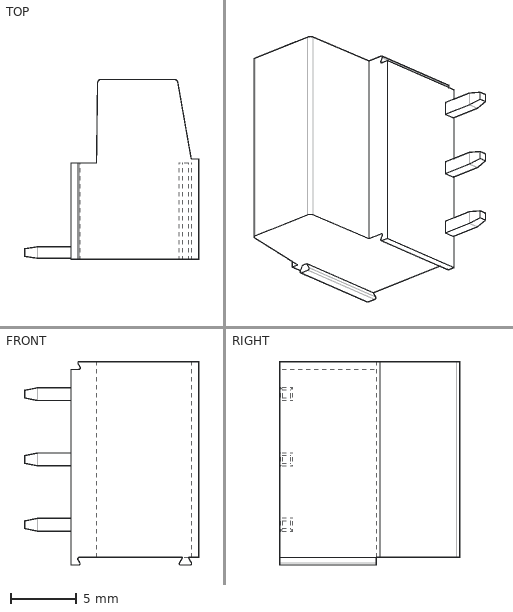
import cadquery as cq

POLES = 3
PITCH = 5.0
HEIGHT = POLES * PITCH

BLOCK_WIDTH = 9.8
LEFT_SHOULDER_Y = 7.4
RIGHT_SHOULDER_Y = 7.7

TOTAL_DEPTH = 13.8
TOWER_LEFT_BASE_X = 1.95
TOWER_LEFT_TOP_X = 2.03
TOWER_RIGHT_BASE_X = 9.22
TOWER_RIGHT_TOP_X = 8.15
TOWER_FILLET = 0.3

COUPLING_HEIGHT = 0.6
LIP_ROOT_X = 0.44
LIP_TIP_X = 0.8
DOVETAIL_CENTER_X = 8.77
DOVETAIL_ROOT_WIDTH = 0.46
DOVETAIL_TIP_WIDTH = 1.12
COUPLING_FILLET = 0.12

PIN_CENTER_Y = 0.53
PIN_LENGTH = 3.55
PIN_TAPER_LENGTH = 1.0
PIN_DEPTH = 0.9
PIN_HEIGHT = 1.0
PIN_TIP_SIZE = 0.6


def extrude_along_y(points, depth):
    """Extrude an XZ outline from the front face back to the given depth."""
    return cq.Workplane("XZ").polyline(points).close().extrude(-depth)


def edges_at(body, corners, size=0.02):
    """Select the Y-parallel edges that pass through the given XZ corners."""
    selector = None
    middle_y = body.val().BoundingBox().center.y
    for x, z in corners:
        box = cq.selectors.BoxSelector(
            (x - size, middle_y - size, z - size),
            (x + size, middle_y + size, z + size),
        )
        selector = box if selector is None else selector + box
    return body.edges("|Y").edges(selector)


def make_block():
    """Block with a hooked lip below and the matching undercut notch above."""
    lip_tip = (LIP_TIP_X, -COUPLING_HEIGHT)
    lip_root = (LIP_ROOT_X, 0)
    notch_edge = (LIP_ROOT_X, HEIGHT)
    notch_root = (LIP_TIP_X, HEIGHT - COUPLING_HEIGHT)
    outline = [
        (0, -COUPLING_HEIGHT),
        lip_tip,
        lip_root,
        (BLOCK_WIDTH, 0),
        (BLOCK_WIDTH, HEIGHT),
        notch_edge,
        notch_root,
        (0, HEIGHT - COUPLING_HEIGHT),
    ]
    block = extrude_along_y(outline, LEFT_SHOULDER_Y)
    hook_corners = [lip_tip, lip_root, notch_edge, notch_root]
    return edges_at(block, hook_corners).fillet(COUPLING_FILLET)


def make_dovetail():
    """Dovetail rail under the block, with rounded outer corners."""
    half_root = DOVETAIL_ROOT_WIDTH / 2
    half_tip = DOVETAIL_TIP_WIDTH / 2
    left_tip = (DOVETAIL_CENTER_X - half_tip, -COUPLING_HEIGHT)
    right_tip = (DOVETAIL_CENTER_X + half_tip, -COUPLING_HEIGHT)
    outline = [
        left_tip,
        right_tip,
        (DOVETAIL_CENTER_X + half_root, 0),
        (DOVETAIL_CENTER_X - half_root, 0),
    ]
    rail = extrude_along_y(outline, LEFT_SHOULDER_Y)
    return edges_at(rail, [left_tip, right_tip]).fillet(COUPLING_FILLET)


def make_tower():
    """Tower with sloping sides, including the raised shoulder at its right."""
    outline = [
        (TOWER_LEFT_BASE_X, LEFT_SHOULDER_Y),
        (BLOCK_WIDTH, LEFT_SHOULDER_Y),
        (BLOCK_WIDTH, RIGHT_SHOULDER_Y),
        (TOWER_RIGHT_BASE_X, RIGHT_SHOULDER_Y),
        (TOWER_RIGHT_TOP_X, TOTAL_DEPTH),
        (TOWER_LEFT_TOP_X, TOTAL_DEPTH),
    ]
    tower = cq.Workplane("XY").polyline(outline).close().extrude(HEIGHT)
    return tower.faces(">Y").edges("|Z").fillet(TOWER_FILLET)


def make_pin(center_z):
    """Rectangular pin pointing to -X with a tapered tip."""
    shank_length = PIN_LENGTH - PIN_TAPER_LENGTH
    face = cq.Workplane("YZ", origin=(0, PIN_CENTER_Y, center_z))
    shank = face.rect(PIN_DEPTH, PIN_HEIGHT).extrude(-shank_length)
    tip = (
        face.workplane(offset=-shank_length)
        .rect(PIN_DEPTH, PIN_HEIGHT)
        .workplane(offset=-PIN_TAPER_LENGTH)
        .rect(PIN_TIP_SIZE, PIN_TIP_SIZE)
        .loft(ruled=True)
    )
    return shank.union(tip)


result = make_block().union(make_tower()).union(make_dovetail())
for pole in range(POLES):
    result = result.union(make_pin((pole + 0.5) * PITCH))